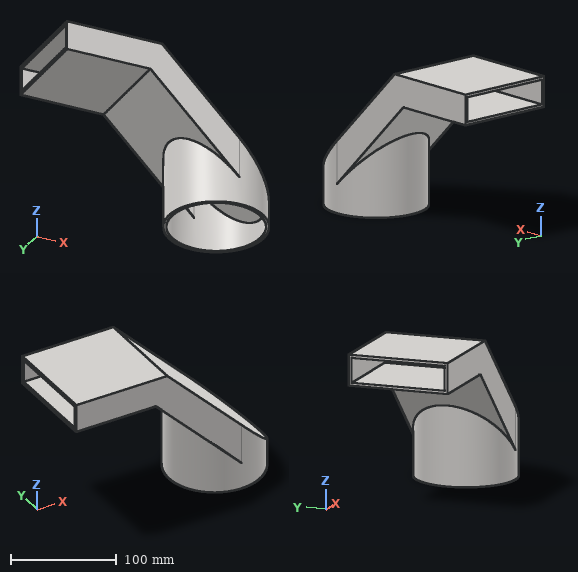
import cadquery as cq
import math

length = 231.5
height = 152.8
width = 100.0
bore_diameter = 94.0
duct_depth = 30.0
level_run = 100.0

wall = (width - bore_diameter) / 2
pipe_axis_x = length - width / 2
miter_ratio = math.tan(math.radians(45 / 2))


def extrude_side_profile(points, body_width):
    """Extrude an XZ outline symmetrically about the Y = 0 plane."""
    return cq.Workplane("XZ").polyline(points).close().extrude(body_width / 2, both=True)


def elbow_body(inset):
    """Bent rectangular duct joined to a vertical round pipe, inset from the outside."""
    body_width = width - 2 * inset
    top_z = height - inset
    bottom_z = height - duct_depth + inset
    top_bend_x = level_run - inset * miter_ratio
    bottom_bend_x = level_run - (duct_depth - inset) * miter_ratio

    slope_top_z = top_z - (pipe_axis_x - top_bend_x)
    slope_bottom_z = bottom_z - (pipe_axis_x - bottom_bend_x)
    duct = extrude_side_profile(
        [
            (0, top_z),
            (top_bend_x, top_z),
            (pipe_axis_x, slope_top_z),
            (pipe_axis_x, slope_bottom_z),
            (bottom_bend_x, bottom_z),
            (0, bottom_z),
        ],
        body_width,
    )

    below_slope = extrude_side_profile(
        [
            (top_bend_x, 0),
            (top_bend_x, top_z),
            (length, top_z - (length - top_bend_x)),
            (length, 0),
        ],
        width,
    )
    pipe = cq.Workplane("XY").center(pipe_axis_x, 0).circle(body_width / 2).extrude(height)
    return duct.union(pipe.intersect(below_slope))


result = elbow_body(0).cut(elbow_body(wall))